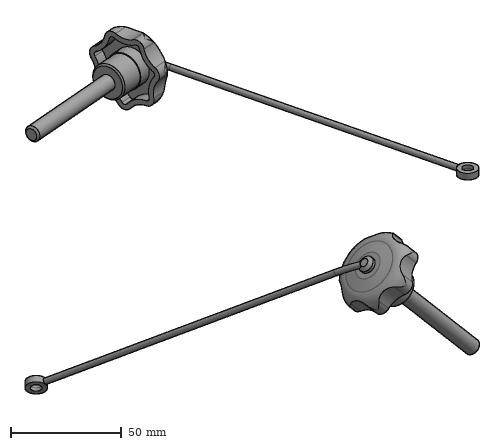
import cadquery as cq
import math

LOBES = 7
LOBE_CENTER_R = 15.6
LOBE_R = 4.3
VALLEY_FLOOR_R = 16.9
KNOB_R = LOBE_CENTER_R + LOBE_R
SHOULDER_R = 7.0
SHOULDER_Y = 3.7
CROWN_FLAT_R = 6.8
CROWN_Y = 11.7
WALL = 2.7
POCKET_DEPTH = 6.2

COLLAR_D = 19.0
COLLAR_DROP = 0.5
HUB_D = 18.0
HUB_LENGTH = 13.0
HUB_CHAMFER = 0.8
STEM_D = 8.0
STEM_TIP_Y = -72.5
STEM_CHAMFER = 1.0

HEAD_D = 8.0
HEAD_SIDE_Y = 13.4
HEAD_TOP_R = 2.0
HEAD_TOP_Y = 14.8
STRAP_D = 3.0
STRAP_Y = 15.2
STRAP_START_X = 2.0
STRAP_START_Y = 14.0
BEND_END_X = 15.2
EYE_D = 10.3
EYE_THICKNESS = 3.5
EYE_HOLE_D = 5.3
OVERALL_LENGTH = 205.5

half_pitch = math.pi / LOBES
knob_left = LOBE_CENTER_R * math.cos(half_pitch / 2) + LOBE_R
eye_x = OVERALL_LENGTH - knob_left - EYE_D / 2


def polar(radius, angle):
    return radius * math.cos(angle), radius * math.sin(angle)


def y_cylinder(diameter, y_start, y_end):
    plane = cq.Workplane("XZ", origin=(0, y_start, 0))
    return plane.circle(diameter / 2).extrude(y_start - y_end)


def star_prism(inset, height):
    """Star with convex lobes tangent to concave valleys, inset evenly all round."""
    across = LOBE_CENTER_R * math.sin(half_pitch)
    rise = VALLEY_FLOOR_R - LOBE_CENTER_R * math.cos(half_pitch)
    valley_r = (across**2 + rise**2 - LOBE_R**2) / (2 * (LOBE_R - rise))
    valley_center_r = VALLEY_FLOOR_R + valley_r
    tangent_ratio = (LOBE_R - inset) / (LOBE_R + valley_r)

    def tangent_point(lobe_angle, valley_angle):
        lobe = polar(LOBE_CENTER_R, lobe_angle)
        valley = polar(valley_center_r, valley_angle)
        return tuple(a + (b - a) * tangent_ratio for a, b in zip(lobe, valley))

    first_lobe = -math.pi / 2
    outline = cq.Workplane("XZ").moveTo(*tangent_point(first_lobe, first_lobe - half_pitch))
    for i in range(LOBES):
        lobe = first_lobe + 2 * i * half_pitch
        valley = lobe + half_pitch
        next_lobe = valley + half_pitch
        outline = outline.threePointArc(polar(KNOB_R - inset, lobe), tangent_point(lobe, valley))
        outline = outline.threePointArc(
            polar(VALLEY_FLOOR_R - inset, valley), tangent_point(next_lobe, valley)
        )
    return outline.close().extrude(-height)


def revolve_about_y(profile):
    return profile.close().revolve(360, (0, 0, 0), (0, 1, 0))


def make_knob():
    shoulder_center_r = KNOB_R - SHOULDER_R
    diagonal = SHOULDER_R / math.sqrt(2)
    dome = revolve_about_y(
        cq.Workplane("XY")
        .lineTo(KNOB_R, 0)
        .lineTo(KNOB_R, SHOULDER_Y)
        .threePointArc(
            (shoulder_center_r + diagonal, SHOULDER_Y + diagonal),
            (shoulder_center_r, SHOULDER_Y + SHOULDER_R),
        )
        .lineTo(CROWN_FLAT_R, CROWN_Y)
        .lineTo(0, CROWN_Y)
    )
    pocket = star_prism(WALL, POCKET_DEPTH)
    return star_prism(0, CROWN_Y).intersect(dome).cut(pocket)


def make_hub_and_stem():
    collar = y_cylinder(COLLAR_D, POCKET_DEPTH, -COLLAR_DROP)
    hub = y_cylinder(HUB_D, POCKET_DEPTH, -HUB_LENGTH).faces("<Y").chamfer(HUB_CHAMFER)
    stem = y_cylinder(STEM_D, POCKET_DEPTH, STEM_TIP_Y).faces("<Y").chamfer(STEM_CHAMFER)
    return collar.union(hub).union(stem)


def make_head():
    return revolve_about_y(
        cq.Workplane("XY")
        .moveTo(0, POCKET_DEPTH)
        .lineTo(HEAD_D / 2, POCKET_DEPTH)
        .lineTo(HEAD_D / 2, HEAD_SIDE_Y)
        .lineTo(HEAD_TOP_R, HEAD_TOP_Y)
        .lineTo(0, HEAD_TOP_Y)
    )


def make_strap():
    path = (
        cq.Workplane("XY")
        .moveTo(eye_x, STRAP_Y)
        .lineTo(BEND_END_X, STRAP_Y)
        .tangentArcPoint((STRAP_START_X, STRAP_START_Y), relative=False)
    )
    section = cq.Workplane("YZ", origin=(eye_x, STRAP_Y, 0)).circle(STRAP_D / 2)
    rod = section.sweep(path)
    eye_plane = cq.Workplane("XY", origin=(eye_x, STRAP_Y, 0))
    eye = eye_plane.circle(EYE_D / 2).extrude(EYE_THICKNESS / 2, both=True)
    hole = eye_plane.circle(EYE_HOLE_D / 2).extrude(EYE_THICKNESS, both=True)
    return rod.union(eye).cut(hole)


result = make_knob().union(make_hub_and_stem()).union(make_head()).union(make_strap())